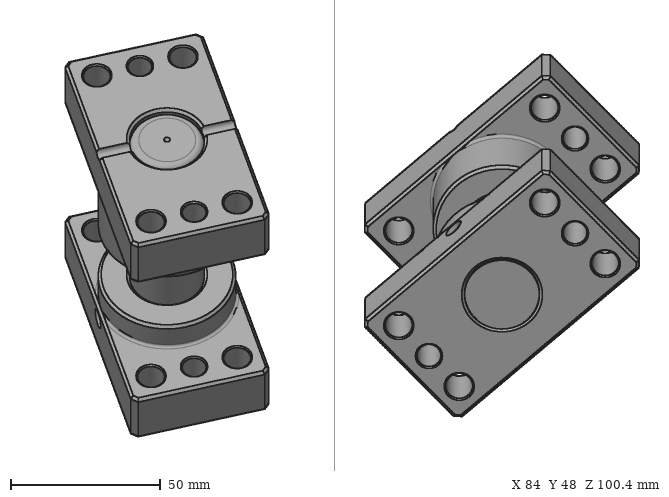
import cadquery as cq

plate_length = 84.0
plate_width = 48.0
plate_thickness = 20.0
edge_chamfer = 1.0
corner_chamfer = 2.0
total_height = 100.4

collar_diameter = plate_width - 2 * edge_chamfer
lower_collar_height = 10.0
upper_collar_height = 25.2
collar_rim_chamfer = 1.0
collar_base_fillet = 1.0
fillet_end_taper = 20.0

pin_diameter = 25.0
pin_length = 100.0
pin_top_fillet = 3.0
bore_chamfer = 1.0
center_mark_diameter = 2.0
center_mark_depth = 1.0

hole_offset_x = 33.0
corner_hole_offset_y = 15.0
corner_hole_diameter = 9.0
middle_hole_diameter = 8.0
hole_chamfer = 0.5

cross_hole_diameter = 6.6
cross_hole_depth = 5.0
vent_groove_diameter = 4.0


def through_hole(diameter, length, chamfer):
    """Cutting tool for a hole from z = 0 up to length, widened by a chamfer at both ends."""
    radius = diameter / 2
    return (
        cq.Workplane("XZ")
        .lineTo(radius + chamfer, 0)
        .lineTo(radius, chamfer)
        .lineTo(radius, length - chamfer)
        .lineTo(radius + chamfer, length)
        .lineTo(0, length)
        .close()
        .revolve(360, (0, 0), (0, 1))
    )


def drilled_plate():
    """Plate standing on z = 0, chamfered all round, with three holes along each short side."""
    plate = (
        cq.Workplane("XY")
        .box(plate_length, plate_width, plate_thickness, centered=(True, True, False))
        .edges("|Z")
        .chamfer(corner_chamfer)
        .faces("<Z or >Z")
        .edges()
        .chamfer(edge_chamfer)
    )
    corner_hole = through_hole(corner_hole_diameter, plate_thickness, hole_chamfer)
    middle_hole = through_hole(middle_hole_diameter, plate_thickness, hole_chamfer)
    for x in (-hole_offset_x, hole_offset_x):
        plate = plate.cut(middle_hole.translate((x, 0, 0)))
        for y in (-corner_hole_offset_y, corner_hole_offset_y):
            plate = plate.cut(corner_hole.translate((x, y, 0)))
    return plate


def collar_foot():
    """Fillet ring at the base of a collar, fading out where the flat plate face ends."""
    bore_radius = pin_diameter / 2
    collar_radius = collar_diameter / 2
    ring = (
        cq.Workplane("XZ")
        .moveTo(bore_radius, 0)
        .lineTo(collar_radius + collar_base_fillet, 0)
        .radiusArc((collar_radius, collar_base_fillet), collar_base_fillet)
        .lineTo(bore_radius, collar_base_fillet)
        .close()
        .revolve(360, (0, 0), (0, 1))
    )
    flat_area = (
        cq.Workplane("XY")
        .rect(plate_length, collar_diameter)
        .extrude(collar_base_fillet, taper=fillet_end_taper)
    )
    return ring.intersect(flat_area)


def add_bored_collar(plate, collar_height):
    """Plate on z = 0 with a collar added on its upper face and a bore through both."""
    collar = (
        cq.Workplane("XY")
        .circle(collar_diameter / 2)
        .extrude(collar_height)
        .faces(">Z")
        .edges()
        .chamfer(collar_rim_chamfer)
        .union(collar_foot())
        .translate((0, 0, plate_thickness))
    )
    bore = through_hole(pin_diameter, plate_thickness + collar_height, bore_chamfer)
    return plate.union(collar).cut(bore)


def cylinder_along_y(diameter, end_y, axis_z):
    """Cutting cylinder on the plane x = 0, from clear of the plate's front to end_y."""
    start_y = -plate_width
    return (
        cq.Workplane("XZ", origin=(0, start_y, axis_z))
        .circle(diameter / 2)
        .extrude(start_y - end_y)
    )


def make_lower_block():
    """Lower plate and collar with a cross hole from the front into the bore."""
    cross_hole = cylinder_along_y(cross_hole_diameter, 0, plate_thickness - cross_hole_depth)
    return add_bored_collar(drilled_plate().cut(cross_hole), lower_collar_height)


def make_upper_block():
    """Upper plate with its collar hanging below and a half-round groove over the top."""
    vent_groove = cylinder_along_y(vent_groove_diameter, plate_width, 0)
    return (
        add_bored_collar(drilled_plate().cut(vent_groove), upper_collar_height)
        .rotate((0, 0, 0), (1, 0, 0), 180)
        .translate((0, 0, total_height))
    )


def make_guide_pin():
    """Straight pin with a rounded top end and a conical centre mark."""
    center_mark = cq.Workplane(
        cq.Solid.makeCone(
            0, center_mark_diameter / 2, center_mark_depth, pnt=(0, 0, pin_length - center_mark_depth)
        )
    )
    return (
        cq.Workplane("XY")
        .circle(pin_diameter / 2)
        .extrude(pin_length)
        .faces(">Z")
        .edges()
        .fillet(pin_top_fillet)
        .cut(center_mark)
    )


lower_block = make_lower_block()
upper_block = make_upper_block()
guide_pin = make_guide_pin()

result = cq.Compound.makeCompound(
    [lower_block.solids().val(), upper_block.solids().val(), guide_pin.solids().val()]
)